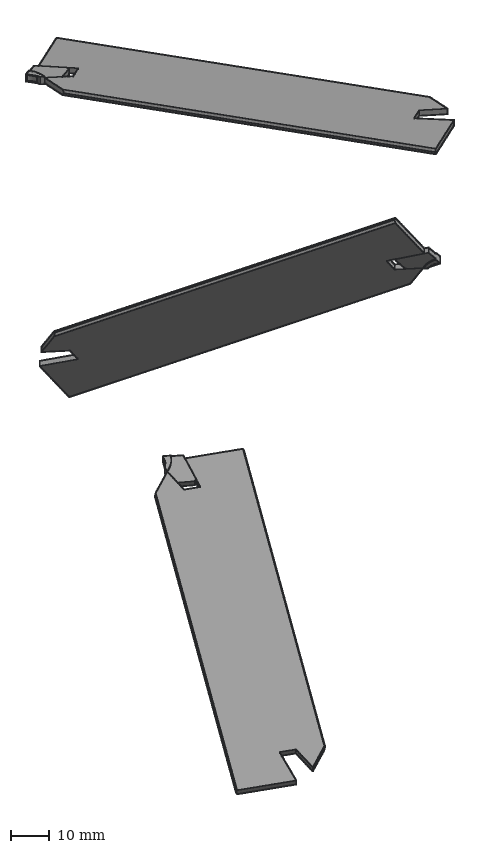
import cadquery as cq

blade_left = 1.7
blade_right = 111.7
blade_width = 25.6
blade_thickness = 1.7
bevel_depth = 0.3

pocket_depth = 10.0
jaw_setback = 3.4
jaw_tip_y = 4.7
jaw_root_y = 7.7
pocket_top_y = 12.0
left_mouth_y = 10.0
cutter_overrun = 1.1
right_mouth_y = 9.7

head_width = 2.2
cutting_edge_y = 4.6
head_top_y = 6.6
insert_front_x = 0.6
insert_back_x = 9.6
back_lean = 0.5
back_chamfer = 0.6
head_arc_middle = (3.0, 6.0)
bump_x = 3.9
bump_y = 4.2
bump_start_x = 3.2

groove_start_x = 0.3
groove_end_x = 2.9
groove_depth = 0.3
groove_width = 1.7

pocket_floor_x = blade_left + pocket_depth
jaw_tip_x = blade_left + jaw_setback
pocket_top_slope = (pocket_top_y - left_mouth_y) / pocket_depth
jaw_slope = (jaw_root_y - jaw_tip_y) / (pocket_floor_x - jaw_tip_x)


def pocket_top_at(x):
    """Height of the upper pocket wall at the insert end."""
    return pocket_top_y + pocket_top_slope * (x - pocket_floor_x)


def jaw_at(x):
    """Height of the jaw seat at the insert end."""
    return jaw_tip_y + jaw_slope * (x - jaw_tip_x)


def insert_front_at(y):
    """X of the leaning front face of the insert."""
    front_height = pocket_top_at(insert_front_x) - cutting_edge_y
    return insert_front_x * (y - cutting_edge_y) / front_height


def end_cutter(mouth_y):
    """Material removed around the pocket and jaw at the left end."""
    outside_x = blade_left - cutter_overrun
    below_y = -cutter_overrun
    mouth_slope = (pocket_top_y - mouth_y) / pocket_depth
    outside_mouth_y = mouth_y - mouth_slope * (blade_left - outside_x)
    ramp_slope = jaw_tip_y / (pocket_floor_x - jaw_tip_x)
    ramp_end_x = pocket_floor_x - below_y / ramp_slope
    outline = [
        (outside_x, outside_mouth_y),
        (pocket_floor_x, pocket_top_y),
        (pocket_floor_x, jaw_root_y),
        (jaw_tip_x, jaw_tip_y),
        (ramp_end_x, below_y),
        (outside_x, below_y),
    ]
    return cq.Workplane("XY").polyline(outline).close().extrude(blade_thickness, both=True)


def make_blade():
    half = blade_thickness / 2
    section = [
        (bevel_depth, -half),
        (0, 0),
        (bevel_depth, half),
        (blade_width - bevel_depth, half),
        (blade_width, 0),
        (blade_width - bevel_depth, -half),
    ]
    bar = (
        cq.Workplane("YZ", origin=(blade_left, 0, 0))
        .polyline(section).close().extrude(blade_right - blade_left)
    )
    center = ((blade_left + blade_right) / 2, blade_width / 2, 0)
    center_above = (center[0], center[1], blade_thickness)
    right_cutter = end_cutter(right_mouth_y).rotate(center, center_above, 180)
    return bar.cut(end_cutter(left_mouth_y)).cut(right_cutter)


def insert_shank():
    """Shank clamped in the pocket, flush with the blade faces."""
    chamfer_x = insert_back_x - back_chamfer
    back_foot_x = insert_back_x - back_lean
    outline = [
        (0, cutting_edge_y),
        (bump_start_x, cutting_edge_y),
        (bump_x, bump_y),
        (jaw_tip_x, jaw_tip_y),
        (back_foot_x, jaw_at(back_foot_x)),
        (insert_back_x, pocket_top_at(chamfer_x) - back_chamfer),
        (chamfer_x, pocket_top_at(chamfer_x)),
        (insert_front_x, pocket_top_at(insert_front_x)),
    ]
    return cq.Workplane("XY").polyline(outline).close().extrude(blade_thickness / 2, both=True)


def insert_head():
    """Wider cutting head with a rounded upper outline."""
    return (
        cq.Workplane("XY").moveTo(0, cutting_edge_y)
        .lineTo(bump_start_x, cutting_edge_y)
        .lineTo(bump_x, bump_y)
        .lineTo(jaw_tip_x, jaw_tip_y)
        .threePointArc(head_arc_middle, (insert_front_at(head_top_y), head_top_y))
        .close().extrude(head_width / 2, both=True)
    )


def chip_groove():
    middle_x = (groove_start_x + groove_end_x) / 2
    half_length = (groove_end_x - groove_start_x) / 2
    radius = (half_length ** 2 + groove_depth ** 2) / (2 * groove_depth)
    center_y = cutting_edge_y + groove_depth - radius
    return (
        cq.Workplane("XY").center(middle_x, center_y)
        .circle(radius).extrude(groove_width / 2, both=True)
    )


def make_insert():
    return insert_shank().union(insert_head()).cut(chip_groove())


blade = make_blade()
insert = make_insert()
result = cq.Compound.makeCompound([blade.val(), insert.val()])